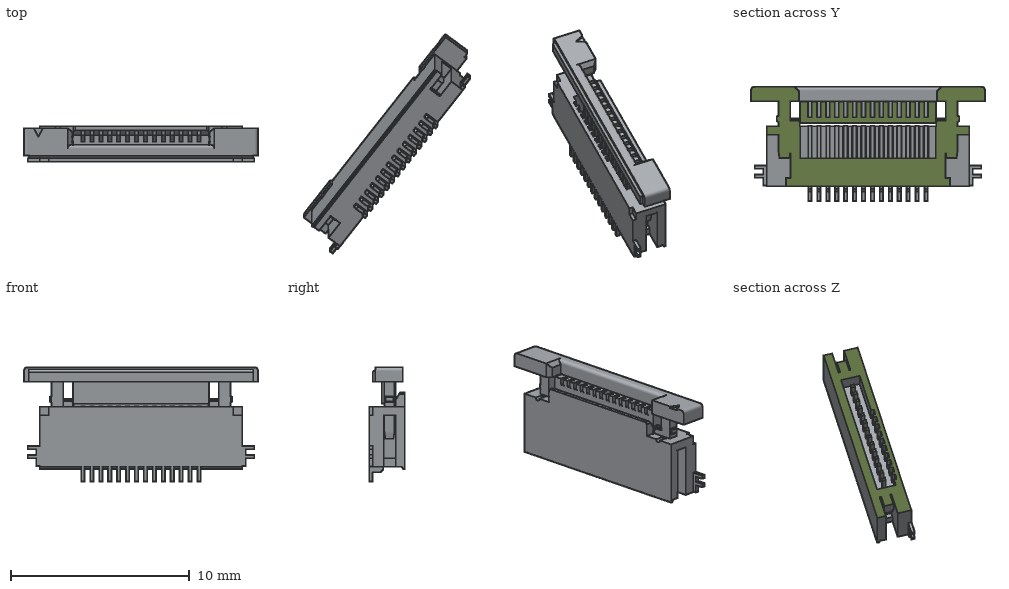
import cadquery as cq


OVERLAP = 0.02

CONTACT_COUNT = 14
CONTACT_PITCH = 0.5
CONTACT_WIDTH = 0.2
SHEET_THICKNESS = 0.2
FOOT_BOTTOM = 0.52
FOOT_BACK = 0.8
FOOT_CORNER = 0.16
CONTACT_X = [(i - (CONTACT_COUNT - 1) / 2) * CONTACT_PITCH for i in range(CONTACT_COUNT)]

HOUSING_HALF_LENGTH = 5.675
HOUSING_DEPTH = 2.0
HOUSING_BOTTOM = 0.83
HOUSING_TOP = 4.2
CORNER_NOTCH = 0.5
LIP_DROP = 0.13
LIP_TIP = 0.1
LIP_ROOT = 0.18

TAB_HALF_LENGTH = 6.35
TAB_BAR_HALF_LENGTH = 5.875
TAB_TOP = 2.0
TAB_BOTTOM = 0.86
TAB_PRONG_COUNT = 2
TAB_PRONG_HEIGHT = 0.2
TAB_PRONG_PITCH = 0.5

WALL_TOP = 5.0
WALL_HALF_LENGTH = 3.79
WALL_END_CHAMFER = 0.1
WALL_FRONT = 1.48
WALL_BEVEL_TOP = 1.755
WALL_BEVEL_START = 4.61

SHOULDER_TOP = 4.52
SHOULDER_OUTER = 4.525
SHOULDER_FRONT = 1.12
SHOULDER_CHAMFER = 0.08
GROOVE_X = 4.66
GROOVE_RADIUS = 0.14

OPENING_HALF_LENGTH = WALL_HALF_LENGTH
OPENING_FRONT = 0.42
OPENING_FLOOR = 2.4
FRONT_SLOT_COUNT = 10
FRONT_SLOT_WIDTH = 0.3
FRONT_SLOT_DEPTH = 0.16
FRONT_ARM_FRONT = 0.85
FRONT_ARM_BACK = 1.05
FRONT_ARM_TOP = 4.23
REAR_ARM_TOP = 4.7
REAR_ARM_BACK = 1.75
REAR_ARM_FALL = 0.05
REAR_ARM_CROWN = 0.5

GUIDE_FRONT = 0.815
GUIDE_TOP = 3.7
GUIDE_INNER = 4.34
GUIDE_STEP_TOP = 1.3
GUIDE_STEP_INNER = 4.6

COVER_HALF_LENGTH = 6.55
COVER_FRONT = 0.35
COVER_BACK = 1.89
COVER_BOTTOM = 5.575
COVER_TOP = 6.4
COVER_END_RADIUS = 0.2
RIB_HALF_LENGTH = 6.27
RIB_FRONT = 0.2
RIB_TOP = 6.28
RIB_CHAMFER = 0.15
CABLE_GAP_HALF_LENGTH = 3.85
CABLE_GAP_FRONT = 0.95
CABLE_GAP_RADIUS = 0.2
CABLE_GAP_FLARE = 0.26
CABLE_GAP_FLARE_HEIGHT = 0.25
CABLE_GAP_CORNER_Y = 1.67
MARK_X = -5.745
MARK_HALF_WIDTH = 0.26
MARK_TIP_Y = 1.4
MARK_DEPTH = 0.1

TONGUE_HALF_LENGTH = 3.81
TONGUE_FRONT = 0.7
TONGUE_BOTTOM = 4.37
TONGUE_SLOT_FRONT = 1.13
TONGUE_SLOT_LOW = 4.7
TONGUE_SLOT_HIGH = 5.27
POST_INNER = 4.34
POST_OUTER = 5.01
POST_FRONT = 0.86
POST_BACK = 1.41
POST_BOTTOM = 2.4
POST_TAPER_START = 2.75
POST_TAPER = 0.05
BARB_REACH = 0.1
BARB_FRONT = 0.94
BARB_BACK = 1.34
BARB_BOTTOM = 4.44
BARB_TOP = 4.77
BARB_CHAMFER = 0.05
WEB_FRONT = 1.12
WEB_BOTTOM = 4.6
WEB_TOP = 4.63


def box(x0, x1, y0, y1, z0, z1):
    """Block between two opposite corners."""
    return cq.Workplane("XY").box(x1 - x0, y1 - y0, z1 - z0, centered=False).translate((x0, y0, z0))


def along_x(points, x0, x1):
    """Prism with a (Y, Z) outline, running from x0 to x1."""
    return cq.Workplane("YZ").workplane(offset=x0).polyline(points).close().extrude(x1 - x0)


def along_y(points, y0, y1):
    """Prism with an (X, Z) outline, running from y0 to y1."""
    return cq.Workplane("XZ").workplane(offset=-y0).polyline(points).close().extrude(y0 - y1)


def both_ends(body):
    """A left-hand body together with its mirror image on the right."""
    return body.union(body.mirror("YZ"))


def housing_block():
    block = box(
        -HOUSING_HALF_LENGTH, HOUSING_HALF_LENGTH, 0, HOUSING_DEPTH, HOUSING_BOTTOM, HOUSING_TOP
    )
    lip = along_x(
        [
            (HOUSING_DEPTH, HOUSING_BOTTOM + OVERLAP),
            (HOUSING_DEPTH, HOUSING_BOTTOM - LIP_DROP),
            (HOUSING_DEPTH - LIP_TIP, HOUSING_BOTTOM - LIP_DROP),
            (HOUSING_DEPTH - LIP_ROOT, HOUSING_BOTTOM),
            (HOUSING_DEPTH - LIP_ROOT, HOUSING_BOTTOM + OVERLAP),
        ],
        -HOUSING_HALF_LENGTH,
        HOUSING_HALF_LENGTH,
    )
    corner = box(
        -HOUSING_HALF_LENGTH, CORNER_NOTCH - HOUSING_HALF_LENGTH,
        0, SHEET_THICKNESS,
        HOUSING_TOP - CORNER_NOTCH, HOUSING_TOP,
    )
    return block.union(lip).cut(both_ends(corner))


def raised_wall():
    wall = along_x(
        [
            (HOUSING_DEPTH, HOUSING_TOP - OVERLAP),
            (HOUSING_DEPTH, WALL_TOP),
            (WALL_BEVEL_TOP, WALL_TOP),
            (WALL_FRONT, WALL_BEVEL_START),
            (WALL_FRONT, HOUSING_TOP - OVERLAP),
        ],
        -WALL_HALF_LENGTH,
        WALL_HALF_LENGTH,
    )
    end_trim = along_y(
        [
            (-WALL_HALF_LENGTH, WALL_TOP - WALL_END_CHAMFER),
            (-WALL_HALF_LENGTH, WALL_TOP),
            (WALL_END_CHAMFER - WALL_HALF_LENGTH, WALL_TOP),
        ],
        WALL_FRONT,
        HOUSING_DEPTH,
    )
    return wall.cut(both_ends(end_trim))


def left_shoulder():
    """Low step between the side post and the cable opening."""
    step = box(
        -SHOULDER_OUTER, -TONGUE_HALF_LENGTH,
        SHOULDER_FRONT, POST_BACK,
        HOUSING_TOP - OVERLAP, SHOULDER_TOP,
    )
    return step.edges("|Y and >X and >Z").chamfer(SHOULDER_CHAMFER)


def left_top_groove():
    """Half-round groove across the back edge of the housing top."""
    return (
        cq.Workplane("XZ")
        .workplane(offset=-WALL_FRONT)
        .center(-GROOVE_X, HOUSING_TOP)
        .circle(GROOVE_RADIUS)
        .extrude(WALL_FRONT - HOUSING_DEPTH)
    )


def cable_opening():
    opening = box(
        -OPENING_HALF_LENGTH, OPENING_HALF_LENGTH,
        OPENING_FRONT, WALL_FRONT,
        OPENING_FLOOR, HOUSING_TOP,
    )
    for x in CONTACT_X[:FRONT_SLOT_COUNT]:
        front_slot = box(
            x - FRONT_SLOT_WIDTH / 2, x + FRONT_SLOT_WIDTH / 2,
            OPENING_FRONT - FRONT_SLOT_DEPTH, OPENING_FRONT + OVERLAP,
            OPENING_FLOOR, HOUSING_TOP,
        )
        opening = opening.union(front_slot)
    for x in CONTACT_X:
        rear_slot = box(
            x - CONTACT_WIDTH / 2, x + CONTACT_WIDTH / 2,
            WALL_FRONT - OVERLAP, REAR_ARM_BACK,
            OPENING_FLOOR, WALL_TOP,
        )
        opening = opening.union(rear_slot)
    return opening


def left_guide_slot():
    upper = box(
        -HOUSING_HALF_LENGTH, -GUIDE_INNER, GUIDE_FRONT, WALL_FRONT, GUIDE_STEP_TOP, GUIDE_TOP
    )
    lower = box(
        -HOUSING_HALF_LENGTH, -GUIDE_STEP_INNER, GUIDE_FRONT, WALL_FRONT, HOUSING_BOTTOM, GUIDE_STEP_TOP
    )
    return upper.union(lower)


def left_mounting_tab():
    tab = box(
        -TAB_BAR_HALF_LENGTH, OVERLAP - HOUSING_HALF_LENGTH, 0, SHEET_THICKNESS, TAB_BOTTOM, TAB_TOP
    )
    for prong in range(TAB_PRONG_COUNT):
        prong_top = TAB_TOP - prong * TAB_PRONG_PITCH
        tab = tab.union(
            box(
                -TAB_HALF_LENGTH, OVERLAP - HOUSING_HALF_LENGTH,
                0, SHEET_THICKNESS,
                prong_top - TAB_PRONG_HEIGHT, prong_top,
            )
        )
    return tab


def contact(x):
    """Solder tail with its foot, plus the front and rear arms inside the cable opening."""
    x0 = x - CONTACT_WIDTH / 2
    x1 = x + CONTACT_WIDTH / 2
    tail = along_x(
        [
            (0, 0),
            (SHEET_THICKNESS, 0),
            (SHEET_THICKNESS, FOOT_BOTTOM),
            (FOOT_BACK - FOOT_CORNER, FOOT_BOTTOM),
            (FOOT_BACK, FOOT_BOTTOM + FOOT_CORNER),
            (FOOT_BACK, HOUSING_BOTTOM + OVERLAP),
            (0, HOUSING_BOTTOM + OVERLAP),
        ],
        x0,
        x1,
    )
    front_arm = box(
        x0, x1,
        FRONT_ARM_FRONT, FRONT_ARM_BACK,
        OPENING_FLOOR - OVERLAP, FRONT_ARM_TOP,
    )
    rear_arm = (
        cq.Workplane("YZ")
        .workplane(offset=x0)
        .moveTo(WALL_FRONT, OPENING_FLOOR - OVERLAP)
        .lineTo(REAR_ARM_BACK, OPENING_FLOOR - OVERLAP)
        .lineTo(REAR_ARM_BACK, REAR_ARM_TOP)
        .radiusArc((WALL_FRONT, REAR_ARM_TOP - REAR_ARM_FALL), -REAR_ARM_CROWN)
        .close()
        .extrude(CONTACT_WIDTH)
    )
    return tail.union(front_arm).union(rear_arm)


def cable_gap():
    """Cutter for the gap in the cover: flared ends and a rounded front edge."""
    flare_x = CABLE_GAP_HALF_LENGTH + CABLE_GAP_FLARE
    flare_z = COVER_TOP - CABLE_GAP_FLARE_HEIGHT
    lengthwise = along_y(
        [
            (-CABLE_GAP_HALF_LENGTH, COVER_BOTTOM),
            (CABLE_GAP_HALF_LENGTH, COVER_BOTTOM),
            (CABLE_GAP_HALF_LENGTH, flare_z),
            (flare_x, COVER_TOP),
            (-flare_x, COVER_TOP),
            (-CABLE_GAP_HALF_LENGTH, flare_z),
        ],
        CABLE_GAP_FRONT - CABLE_GAP_RADIUS,
        COVER_BACK,
    )
    crosswise = (
        cq.Workplane("YZ")
        .workplane(offset=-flare_x)
        .moveTo(CABLE_GAP_FRONT, COVER_BOTTOM)
        .lineTo(CABLE_GAP_FRONT, COVER_TOP - CABLE_GAP_RADIUS)
        .radiusArc((CABLE_GAP_FRONT - CABLE_GAP_RADIUS, COVER_TOP), -CABLE_GAP_RADIUS)
        .lineTo(COVER_BACK, COVER_TOP)
        .lineTo(COVER_BACK, COVER_BOTTOM)
        .close()
        .extrude(2 * flare_x)
    )
    left_back_corner = (
        cq.Workplane("XY")
        .workplane(offset=COVER_BOTTOM)
        .polyline(
            [
                (-flare_x, COVER_BACK),
                (-CABLE_GAP_HALF_LENGTH, CABLE_GAP_CORNER_Y),
                (-CABLE_GAP_HALF_LENGTH, COVER_BACK),
            ]
        )
        .close()
        .extrude(COVER_TOP - COVER_BOTTOM)
    )
    return lengthwise.intersect(crosswise).union(both_ends(left_back_corner))


def cover():
    body = box(
        -COVER_HALF_LENGTH, COVER_HALF_LENGTH, COVER_FRONT, COVER_BACK, COVER_BOTTOM, COVER_TOP
    )
    body = body.edges("|Y and >Z").fillet(COVER_END_RADIUS)
    rib = along_x(
        [
            (COVER_FRONT + OVERLAP, COVER_BOTTOM),
            (RIB_FRONT, COVER_BOTTOM),
            (RIB_FRONT, RIB_TOP - RIB_CHAMFER),
            (RIB_FRONT + RIB_CHAMFER, RIB_TOP),
            (COVER_FRONT + OVERLAP, RIB_TOP),
        ],
        -RIB_HALF_LENGTH,
        RIB_HALF_LENGTH,
    )
    mark = (
        cq.Workplane("XY")
        .workplane(offset=COVER_TOP - MARK_DEPTH)
        .polyline(
            [
                (MARK_X - MARK_HALF_WIDTH, COVER_BACK),
                (MARK_X, MARK_TIP_Y),
                (MARK_X + MARK_HALF_WIDTH, COVER_BACK),
            ]
        )
        .close()
        .extrude(MARK_DEPTH)
    )
    return body.union(rib).cut(cable_gap()).cut(mark)


def tongue():
    """Plate that presses the cable, with a sloped recess behind each contact."""
    plate = box(
        -TONGUE_HALF_LENGTH, TONGUE_HALF_LENGTH,
        TONGUE_FRONT, WALL_FRONT,
        TONGUE_BOTTOM, COVER_BOTTOM,
    )
    for x in CONTACT_X:
        recess = along_x(
            [
                (TONGUE_SLOT_FRONT, TONGUE_SLOT_LOW),
                (WALL_FRONT, TONGUE_SLOT_HIGH),
                (WALL_FRONT, COVER_BOTTOM),
                (TONGUE_SLOT_FRONT, COVER_BOTTOM),
            ],
            x - CONTACT_WIDTH / 2,
            x + CONTACT_WIDTH / 2,
        )
        plate = plate.cut(recess)
    return plate


def left_post():
    """Side post with a tapered foot, an outward barb and a thin web to the tongue."""
    width = POST_OUTER - POST_INNER
    depth = POST_BACK - POST_FRONT
    post = box(
        -POST_OUTER, -POST_INNER, POST_FRONT, POST_BACK, POST_TAPER_START, COVER_BOTTOM + OVERLAP
    )
    foot = (
        cq.Workplane("XY")
        .workplane(offset=POST_TAPER_START)
        .center(-(POST_OUTER + POST_INNER) / 2, (POST_FRONT + POST_BACK) / 2)
        .rect(width, depth)
        .workplane(offset=POST_BOTTOM - POST_TAPER_START)
        .rect(width - 2 * POST_TAPER, depth - 2 * POST_TAPER)
        .loft(combine=True)
    )
    barb = box(
        -POST_OUTER - BARB_REACH, OVERLAP - POST_OUTER, BARB_FRONT, BARB_BACK, BARB_BOTTOM, BARB_TOP
    )
    barb = barb.edges("|Y and <X").chamfer(BARB_CHAMFER)
    web = box(
        -POST_INNER - OVERLAP, OVERLAP - TONGUE_HALF_LENGTH, WEB_FRONT, POST_BACK, WEB_BOTTOM, WEB_TOP
    )
    return post.union(foot).union(barb).union(web)


housing = housing_block().union(raised_wall()).union(both_ends(left_shoulder()))
housing = housing.cut(cable_opening()).cut(both_ends(left_guide_slot()))
housing = housing.cut(both_ends(left_top_groove()))
housing = housing.union(both_ends(left_mounting_tab()))
for contact_x in CONTACT_X:
    housing = housing.union(contact(contact_x))

slider = cover().union(tongue()).union(both_ends(left_post()))

result = housing.union(slider)